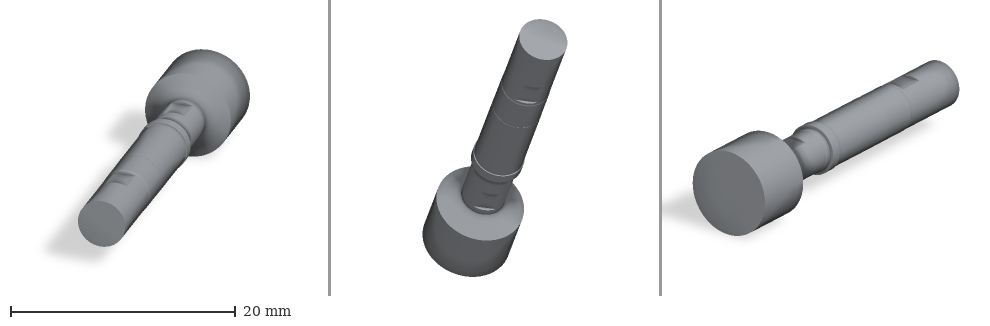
import cadquery as cq
import math

head_diameter = 8.0
shank_diameter = 4.0
ring_diameter = 4.1
collar_diameter = 4.7
barrel_diameter = 4.5
sleeve_diameter = 4.47
nose_diameter = 4.4

head_end = 5.75
cone_end = 6.9
ring_start = 12.0
collar_start = 12.5
collar_end = 13.5
barrel_end = 21.0
nose_start = 24.5
total_length = 31.7

transition_length = 0.1

flat_length = 2.5
flat_width = 2.0
shank_flat_start = 7.6
nose_flat_start = 24.8


def make_turned_body():
    """Revolve the stepped half-profile around the Y axis."""
    profile_steps = [
        (head_diameter, 0),
        (head_diameter, head_end),
        (shank_diameter, cone_end),
        (shank_diameter, ring_start - transition_length),
        (ring_diameter, ring_start),
        (ring_diameter, collar_start),
        (collar_diameter, collar_start),
        (collar_diameter, collar_end),
        (barrel_diameter, collar_end),
        (barrel_diameter, barrel_end),
        (sleeve_diameter, barrel_end),
        (sleeve_diameter, nose_start - transition_length),
        (nose_diameter, nose_start),
        (nose_diameter, total_length),
    ]
    outline = [(diameter / 2, -distance) for diameter, distance in profile_steps]
    return (
        cq.Workplane("XY")
        .polyline([(0, 0)] + outline + [(0, -total_length)])
        .close()
        .revolve(360, (0, 0), (0, 1))
    )


def cut_flat_pair(body, start, diameter):
    """Cut flats facing +Z and -Z, set in until each is a chord of flat_width on the given diameter."""
    across_flats = math.sqrt(diameter**2 - flat_width**2)
    cutter_size = head_diameter
    for side in (1, -1):
        cutter = cq.Workplane("XY").box(cutter_size, flat_length, cutter_size)
        center_z = side * (across_flats + cutter_size) / 2
        body = body.cut(cutter.translate((0, -start - flat_length / 2, center_z)))
    return body


turned_body = make_turned_body()
with_shank_flats = cut_flat_pair(turned_body, shank_flat_start, shank_diameter)
result = cut_flat_pair(with_shank_flats, nose_flat_start, nose_diameter)